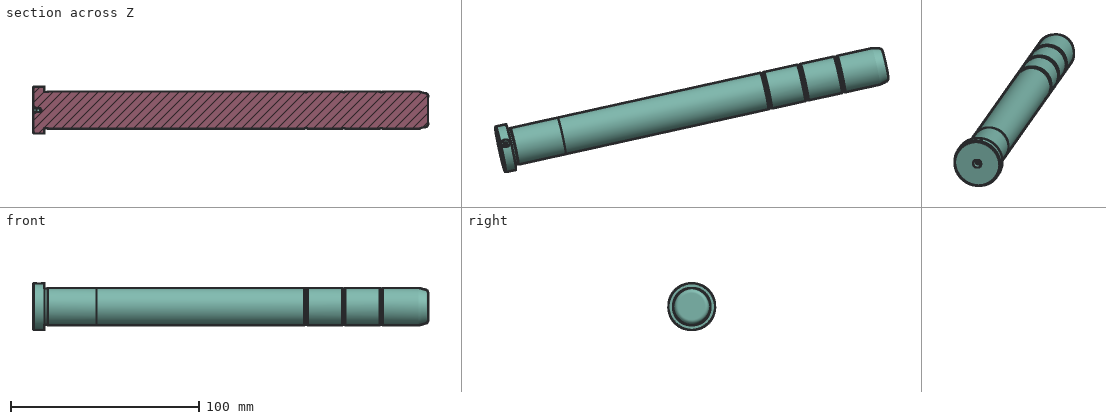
import cadquery as cq
import math

TOTAL_LENGTH = 210.0
HEAD_DIAMETER = 25.0
HEAD_LENGTH = 6.0
HEAD_CHAMFER = 0.5
SHANK_DIAMETER = 20.0

FIT_END = 33.6
FIT_OVERSIZE = 0.02

UNDERCUT_WIDTH = 1.9
UNDERCUT_DEPTH = 0.25
UNDERCUT_RUNOUT = 0.4

GROOVE_POSITIONS = (145.0, 165.0, 185.0)
GROOVE_WIDTH = 2.0
GROOVE_DEPTH = 0.5

TIP_LENGTH = 5.0
TIP_TAPER_ANGLE = 15.0
TIP_ROUND = 2.0

GUARD_DIAMETER = 4.4
GUARD_ANGLE = 90.0
CENTRE_DIAMETER = 2.8
CENTRE_ANGLE = 60.0
PILOT_DIAMETER = 1.8
PILOT_LENGTH = 2.0
POINT_ANGLE = 118.0
RADIAL_HOLE_X = HEAD_LENGTH / 2


def body():
    head_radius = HEAD_DIAMETER / 2
    shank_radius = SHANK_DIAMETER / 2
    fit_radius = shank_radius + FIT_OVERSIZE / 2
    undercut_radius = shank_radius - UNDERCUT_DEPTH
    undercut_end = HEAD_LENGTH + UNDERCUT_WIDTH
    taper = math.radians(TIP_TAPER_ANGLE)
    corner_radius = shank_radius - TIP_LENGTH * math.tan(taper)
    tangent_length = TIP_ROUND * math.tan((math.pi / 2 - taper) / 2)
    round_start_x = TOTAL_LENGTH - tangent_length * math.cos(taper)
    round_start_radius = corner_radius + tangent_length * math.sin(taper)
    profile = (
        cq.Workplane("XZ")
        .lineTo(0, head_radius - HEAD_CHAMFER)
        .lineTo(HEAD_CHAMFER, head_radius)
        .lineTo(HEAD_LENGTH, head_radius)
        .lineTo(HEAD_LENGTH, undercut_radius)
        .lineTo(undercut_end - UNDERCUT_RUNOUT, undercut_radius)
        .lineTo(undercut_end, fit_radius)
        .lineTo(FIT_END, fit_radius)
        .lineTo(FIT_END, shank_radius)
        .lineTo(TOTAL_LENGTH - TIP_LENGTH, shank_radius)
        .lineTo(round_start_x, round_start_radius)
        .radiusArc((TOTAL_LENGTH, corner_radius - tangent_length), TIP_ROUND)
        .lineTo(TOTAL_LENGTH, 0)
        .close()
    )
    return profile.revolve(360, (0, 0, 0), (1, 0, 0))


def groove_cutter(position):
    """V-shaped ring centred at the given X."""
    outer_radius = SHANK_DIAMETER / 2
    return (
        cq.Workplane("XZ")
        .moveTo(position - GROOVE_WIDTH / 2, outer_radius)
        .lineTo(position, outer_radius - GROOVE_DEPTH)
        .lineTo(position + GROOVE_WIDTH / 2, outer_radius)
        .close()
        .revolve(360, (0, 0, 0), (1, 0, 0))
    )


def hole_cutter():
    """Countersunk centre hole from the origin down -Z: guard cone, centre cone, pilot, drill point."""
    guard_radius = GUARD_DIAMETER / 2
    centre_radius = CENTRE_DIAMETER / 2
    pilot_radius = PILOT_DIAMETER / 2
    guard_depth = (guard_radius - centre_radius) / math.tan(math.radians(GUARD_ANGLE / 2))
    centre_depth = (centre_radius - pilot_radius) / math.tan(math.radians(CENTRE_ANGLE / 2))
    point_length = pilot_radius / math.tan(math.radians(POINT_ANGLE / 2))
    pilot_top = guard_depth + centre_depth
    pilot_bottom = pilot_top + PILOT_LENGTH
    return (
        cq.Workplane("XZ")
        .lineTo(guard_radius, 0)
        .lineTo(centre_radius, -guard_depth)
        .lineTo(pilot_radius, -pilot_top)
        .lineTo(pilot_radius, -pilot_bottom)
        .lineTo(0, -pilot_bottom - point_length)
        .close()
        .revolve(360, (0, 0, 0), (0, 1, 0))
    )


result = body()
for groove_position in GROOVE_POSITIONS:
    result = result.cut(groove_cutter(groove_position))

axial_hole = hole_cutter().rotate((0, 0, 0), (0, 1, 0), -90)
radial_hole = hole_cutter().translate((RADIAL_HOLE_X, 0, HEAD_DIAMETER / 2))
result = result.cut(axial_hole).cut(radial_hole)